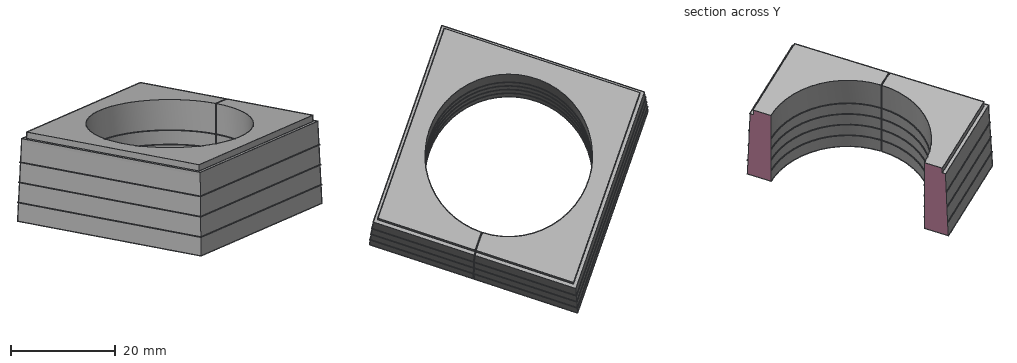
import cadquery as cq
import math

base_side = 42.0
total_height = 17.7
draft_angle = 2.0

drafted_height = 15.75
shoulder_height = 16.45
top_side = 39.5

lip_pitch = 4.0
first_lip_height = 3.7
lip_count = 3
lip_thickness = 0.1
lip_projection = 0.1

bore_diameter = 32.0
first_ridge_height = 3.0
ridge_pitch = 2.85
ridge_count = 4
ridge_thickness = 0.1
ridge_projection = 0.1
ridge_overlap = 0.5

slit_width = 0.2


def side_at(height):
    """Side length of the drafted block at a given height."""
    return base_side - 2 * height * math.tan(math.radians(draft_angle))


def square_block(side, bottom, top):
    """Centred square block between two heights."""
    return cq.Workplane("XY").workplane(offset=bottom).rect(side, side).extrude(top - bottom)


def outer_body():
    """Drafted block, straight shoulder and narrower top plate."""
    drafted = cq.Workplane("XY").rect(base_side, base_side).extrude(drafted_height, taper=draft_angle)
    shoulder = square_block(side_at(drafted_height), drafted_height, shoulder_height)
    top_plate = square_block(top_side, shoulder_height, total_height)
    return drafted.union(shoulder).union(top_plate)


def add_lips(body):
    """Thin square lips standing proud of the drafted sides."""
    for index in range(lip_count):
        bottom = first_lip_height + index * lip_pitch
        lip_side = side_at(bottom) + 2 * lip_projection
        body = body.union(square_block(lip_side, bottom, bottom + lip_thickness))
    return body


def cut_bore(body):
    """Through bore."""
    return body.cut(cq.Workplane("XY").circle(bore_diameter / 2).extrude(total_height))


def add_bore_ridges(body):
    """Thin ring ridges standing inward from the bore wall."""
    outer_radius = bore_diameter / 2 + ridge_overlap
    inner_radius = bore_diameter / 2 - ridge_projection
    for index in range(ridge_count):
        bottom = first_ridge_height + index * ridge_pitch
        plane = cq.Workplane("XY").workplane(offset=bottom)
        body = body.union(plane.circle(outer_radius).circle(inner_radius).extrude(ridge_thickness))
    return body


def cut_slit(body):
    """Narrow slit from the bore out through the +Y side."""
    slit = cq.Workplane("XY").box(slit_width, base_side, total_height, centered=(True, False, False))
    return body.cut(slit)


body = add_lips(outer_body())
body = add_bore_ridges(cut_bore(body))
result = cut_slit(body)